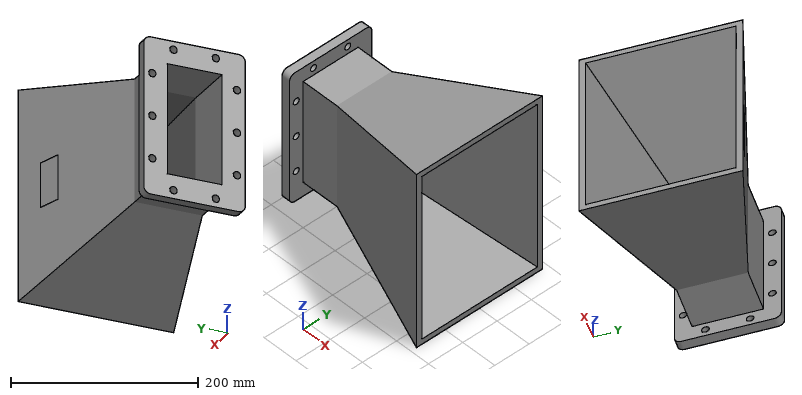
import cadquery as cq
import math

total_length = 245.0
mouth_y = 184.0
mouth_z = 249.0
wall = 7.7

bore_y = 64.7
bore_z = 129.5
neck_y = bore_y + 2 * wall
neck_z = bore_z + 2 * wall
neck_end = 65.0

flange_thickness = 12.0
flange_y = 120.0
flange_z = 185.0
flange_corner_radius = 8.0

hole_diameter = 8.5
hole_pitch = 50.0
side_hole_y = hole_pitch
end_hole_z = 82.7

label_length = 28.1
label_height = 52.3
label_depth = 0.2
label_center_y = 78.2


def block(start, end, size_y, size_z):
    """Rectangular bar along X, centred on the axis."""
    return cq.Workplane("YZ", origin=(start, 0, 0)).rect(size_y, size_z).extrude(end - start)


def flare(inset):
    """Flare from the neck to the mouth, with every side moved in by inset."""
    return (
        cq.Workplane("YZ", origin=(neck_end, 0, 0))
        .rect(neck_y - 2 * inset, neck_z - 2 * inset)
        .workplane(offset=total_length - neck_end)
        .rect(mouth_y - 2 * inset, mouth_z - 2 * inset)
        .loft(ruled=True)
    )


def bolt_holes():
    """Three holes along each long side and two along each short end."""
    points = []
    for side in (-1, 1):
        points += [(side * side_hole_y, row * hole_pitch) for row in (-1, 0, 1)]
        points += [(column * hole_pitch / 2, side * end_hole_z) for column in (-1, 1)]
    return cq.Workplane("YZ").pushPoints(points).circle(hole_diameter / 2).extrude(flange_thickness)


def label_recess():
    """Cutter lying on the sloped +Y face of the flare."""
    slope = (mouth_y - neck_y) / 2 / (total_length - neck_end)
    angle = math.degrees(math.atan(slope))
    center_x = neck_end + (label_center_y - neck_y / 2) / slope
    return (
        cq.Workplane("XY")
        .box(label_length, 2 * label_depth, label_height)
        .rotate((0, 0, 0), (0, 0, 1), angle)
        .translate((center_x, label_center_y, 0))
    )


flange = block(0, flange_thickness, flange_y, flange_z).edges("|X").fillet(flange_corner_radius)
neck = block(flange_thickness, neck_end, neck_y, neck_z)
bore = block(0, neck_end, bore_y, bore_z)

body = flange.cut(bolt_holes()).union(neck).union(flare(0))
result = body.cut(bore).cut(flare(wall)).cut(label_recess())